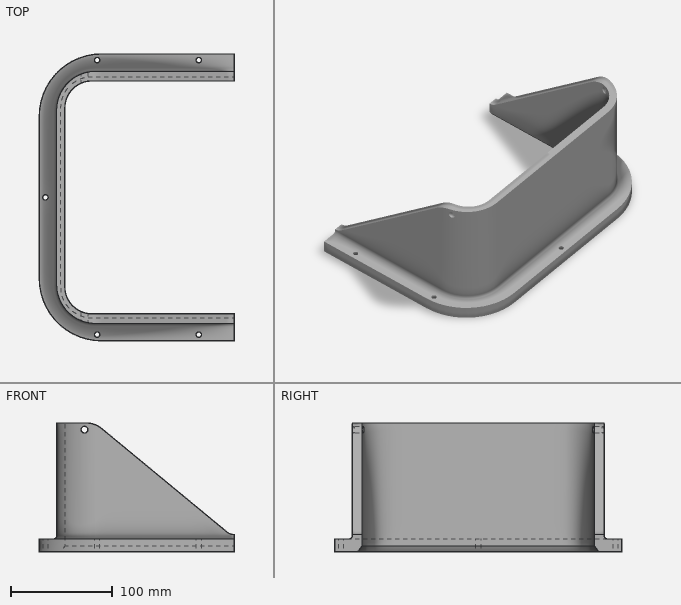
import cadquery as cq
import math

length = 191.7
width = 282.0
height = 127.0

flange_thickness = 13.0
flange_corner_radius = 61.5
wall_inset = 17.2
wall_corner_radius = 38.0
root_fillet = 2.8

back_inner_x = 25.5
side_inset = 26.8
opening_corner_radius = 26.2
chamfer_height = 6.0
chamfer_depth = 4.2

slope_start_x = 54.7
slope_end_x = 187.5
tip_height = 17.2
crest_radius = 25.0
toe_radius = 11.3

flange_hole_diameter = 5.0
flange_hole_inset = 6.2
side_hole_positions = (57.0, 156.8)
wall_hole_diameter = 6.5
wall_hole_x = 44.5
wall_hole_z = 120.0


def rounded_block(inset_x, inset_y, corner_radius, block_height, extra_length=0):
    """Block reaching the open end, or past it by extra_length, with rounded back corners."""
    return (
        cq.Workplane("XY")
        .box(
            length + extra_length - inset_x,
            width - 2 * inset_y,
            block_height,
            centered=(False, True, False),
        )
        .translate((inset_x, 0, 0))
        .edges("|Z and <X")
        .fillet(corner_radius)
    )


def side_profile():
    """Side silhouette, extruded over the whole width, with a rounded crest and toe."""
    profile = (
        cq.Workplane("XZ")
        .moveTo(0, 0)
        .lineTo(length, 0)
        .lineTo(length, tip_height)
        .lineTo(slope_end_x, tip_height)
        .lineTo(slope_start_x, height)
        .lineTo(0, height)
        .close()
        .extrude(width / 2, both=True)
    )
    crest = cq.selectors.NearestToPointSelector((slope_start_x, 0, height))
    toe = cq.selectors.NearestToPointSelector((slope_end_x, 0, tip_height))
    return profile.edges(crest).fillet(crest_radius).edges(toe).fillet(toe_radius)


def add_root_fillet(body):
    """Fillet the corner between the flange top and the outside of the wall.

    The back edge is enough: the fillet follows its tangent chain to both open ends.
    """
    back_root = cq.selectors.NearestToPointSelector((wall_inset, 0, flange_thickness))
    return body.edges(back_root).fillet(root_fillet)


def inner_opening():
    """Cutter for the inside, flared at the bottom to chamfer the lower inner edge."""
    straight = rounded_block(back_inner_x, side_inset, opening_corner_radius, height)
    flare_angle = math.degrees(math.atan(chamfer_depth / chamfer_height))
    extra_length = 2 * chamfer_depth
    flare = (
        rounded_block(
            back_inner_x - chamfer_depth,
            side_inset - chamfer_depth,
            opening_corner_radius + chamfer_depth,
            chamfer_height,
            extra_length,
        )
        .faces("<Z")
        .wires()
        .toPending()
        .workplane(invert=True)
        .extrude(chamfer_height, taper=flare_angle, combine=False)
    )
    return straight.union(flare)


def flange_holes():
    side_y = width / 2 - flange_hole_inset
    points = [(flange_hole_inset, 0)]
    for x in side_hole_positions:
        points += [(x, side_y), (x, -side_y)]
    return (
        cq.Workplane("XY")
        .pushPoints(points)
        .circle(flange_hole_diameter / 2)
        .extrude(flange_thickness)
    )


def wall_holes():
    return (
        cq.Workplane("XZ")
        .center(wall_hole_x, wall_hole_z)
        .circle(wall_hole_diameter / 2)
        .extrude(width / 2, both=True)
    )


flange = rounded_block(0, 0, flange_corner_radius, flange_thickness)
wall = rounded_block(wall_inset, wall_inset, wall_corner_radius, height).intersect(side_profile())
opening = inner_opening()

body = add_root_fillet(flange.union(wall))
result = body.cut(opening).cut(flange_holes()).cut(wall_holes())